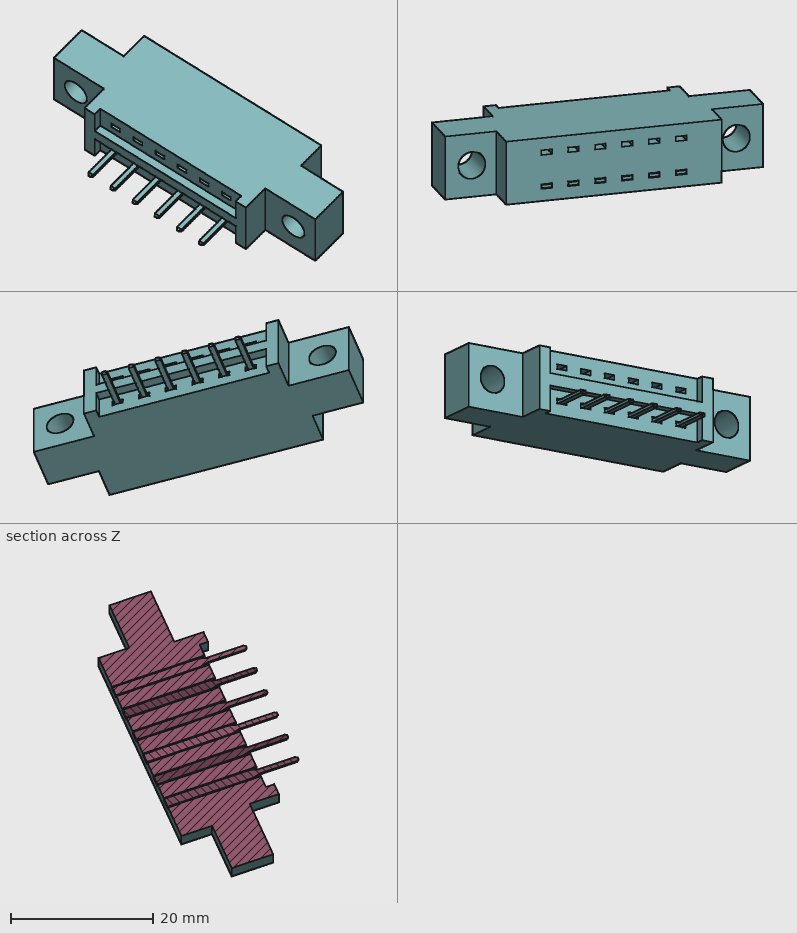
import cadquery as cq

length = 46.8
height = 9.4
rear_width = 31.72
front_width = 28.85
flange_rear_y = -4.65
flange_front_y = -10.95
front_y = -15.35

mount_hole_diameter = 4.0
mount_hole_spacing = 38.95

recess_width = 25.2
recess_depth = 1.25
rib_height = 1.82
recess_floor_y = front_y + recess_depth

contact_count = 6
contact_row_span = 19.8
contact_pitch = contact_row_span / (contact_count - 1)
row_offset = 2.55
slot_width = 1.6
slot_height = 0.7
contact_xs = [i * contact_pitch - contact_row_span / 2 for i in range(contact_count)]

pin_thickness = 0.45
blade_width = 1.45
tail_width = 0.8
shoulder_length = 1.1
shoulder_front_y = recess_floor_y
shoulder_rear_y = shoulder_front_y + shoulder_length
tip_length = 0.35
tip_inset = 0.2
tip_y = -20.03


def box_between(width, y_rear, y_front, z_bottom, z_top):
    """Block centred on x = 0 between the given y and z limits."""
    return (
        cq.Workplane("XY")
        .box(width, y_rear - y_front, z_top - z_bottom)
        .translate((0, (y_rear + y_front) / 2, (z_bottom + z_top) / 2))
    )


def make_housing():
    """Stepped block with end flanges, mounting holes, recesses and contact slots."""
    top = height / 2
    body = box_between(rear_width, 0, flange_front_y, -top, top)
    body = body.union(box_between(length, flange_rear_y, flange_front_y, -top, top))
    body = body.union(box_between(front_width, flange_front_y, front_y, -top, top))

    for x in (-mount_hole_spacing / 2, mount_hole_spacing / 2):
        hole = cq.Workplane("XZ").center(x, 0).circle(mount_hole_diameter / 2).extrude(-front_y)
        body = body.cut(hole)

    body = body.cut(box_between(recess_width, recess_floor_y, front_y, rib_height / 2, top))
    body = body.cut(box_between(recess_width, recess_floor_y, front_y, -top, -rib_height / 2))

    slot_centers = [(x, z) for x in contact_xs for z in (-row_offset, row_offset)]
    slots = cq.Workplane("XZ").pushPoints(slot_centers).rect(slot_width, slot_height).extrude(-front_y)
    return body.cut(slots)


def make_pin(x):
    """One flat contact pin of the lower row, centred on the given x."""
    tail_end_y = tip_y + tip_length
    strip = (
        cq.Workplane("XY")
        .polyline([
            (-blade_width / 2, 0),
            (-blade_width / 2, shoulder_rear_y),
            (-tail_width / 2, shoulder_front_y),
            (-tail_width / 2, tail_end_y),
            (tail_width / 2, tail_end_y),
            (tail_width / 2, shoulder_front_y),
            (blade_width / 2, shoulder_rear_y),
            (blade_width / 2, 0),
        ])
        .close()
        .extrude(pin_thickness / 2, both=True)
    )
    pin = (
        strip.faces("<Y")
        .workplane(centerOption="CenterOfBoundBox")
        .rect(tail_width, pin_thickness)
        .workplane(offset=tip_length)
        .rect(tail_width - 2 * tip_inset, pin_thickness - 2 * tip_inset)
        .loft(combine=True)
    )
    return pin.translate((x, 0, -row_offset))


housing = make_housing()
pins = [make_pin(x) for x in contact_xs]

result = cq.Compound.makeCompound([housing.val(), *[pin.val() for pin in pins]])